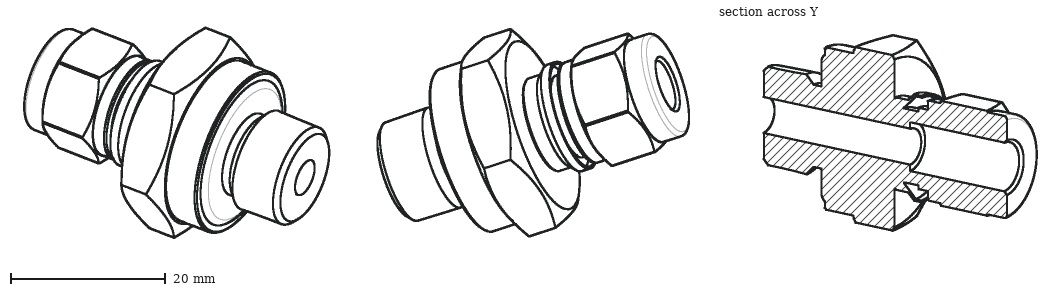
import cadquery as cq
import math

length = 38.55

nut_diameter = 13.9
nut_edge_round = 0.5
nut_hex_start = 3.0
nut_hex_end = 10.6
nut_flats = 14.25
nut_corner_diameter = 16.35
nut_chamfer_diameter = 13.8
nut_collar_diameter = 13.65
nut_end = 12.55
nut_collar_chamfer = 0.3
nut_collar_chamfer_depth = 0.1

neck_diameter = 11.1
neck_step = 14.03
ring_core_diameter = 10.1
ring_start = 13.5
ring_diameter = 14.5
ring_cone_start = 14.7
ring_cone_end = 15.7
ring_recess_diameter = 13.9
ring_recess_cone_start = 14.4
ring_recess_end = 16.35
sleeve_diameter = 12.6
sleeve_chamfer = 0.25

body_hex_start = 17.8
body_hex_end = 24.3
body_flats = 23.8
body_chamfer_diameter = 22.75
hex_chamfer_angle = 30.0

flange_diameter = 22.1
flange_end = 28.85
flange_chamfer = 0.25
lip_diameter = 19.9
lip_end = 29.45
lip_drop = 0.95
lip_round = 1.35

undercut_diameter = 11.2
undercut_end = 30.6
thread_start = 31.75
thread_diameter = 13.6
thread_tip_diameter = 13.37
thread_chamfer = 0.7

bore_diameter = 4.8
socket_diameter = 6.55
socket_depth = 15.3
socket_chamfer = 0.42


def cylinder(start, end, diameter):
    return cq.Workplane("YZ", origin=(start, 0, 0)).circle(diameter / 2).extrude(end - start)


def cone(start, end, start_diameter, end_diameter):
    profile = [(start, 0), (start, start_diameter / 2), (end, end_diameter / 2), (end, 0)]
    return cq.Workplane("XY").polyline(profile).close().revolve(360, (0, 0), (1, 0))


def chamfered_hexagon(start, end, flats, chamfer_diameter):
    """Hexagonal prism with corners along Y, both ends trimmed by a cone."""
    corner_diameter = flats / math.cos(math.radians(30))
    depth = (corner_diameter - chamfer_diameter) / 2 * math.tan(math.radians(hex_chamfer_angle))
    prism = cq.Workplane("YZ", origin=(start, 0, 0)).polygon(6, corner_diameter).extrude(end - start)
    envelope = (
        cone(start, start + depth, chamfer_diameter, corner_diameter)
        .union(cylinder(start + depth, end - depth, corner_diameter))
        .union(cone(end - depth, end, corner_diameter, chamfer_diameter))
    )
    return prism.intersect(envelope)


def compression_nut():
    front = cylinder(0, nut_hex_start, nut_diameter).faces("<X").edges().fillet(nut_edge_round)
    hexagon = chamfered_hexagon(nut_hex_start, nut_hex_end, nut_flats, nut_chamfer_diameter)
    hexagon = hexagon.intersect(cylinder(nut_hex_start, nut_hex_end, nut_corner_diameter))
    collar = cylinder(nut_hex_end, nut_end, nut_collar_diameter)
    collar = collar.faces(">X").edges().chamfer(nut_collar_chamfer, nut_collar_chamfer_depth)
    return front.union(hexagon).union(collar)


def neck_and_ring():
    neck = cylinder(nut_end, ring_start, neck_diameter)
    ring = cylinder(ring_start, ring_cone_start, ring_diameter)
    taper = cone(ring_cone_start, ring_cone_end, ring_diameter, sleeve_diameter)
    sleeve = cylinder(ring_cone_end, body_hex_start, sleeve_diameter)
    sleeve = sleeve.faces(">X").edges().chamfer(sleeve_chamfer)
    recess = (
        cylinder(ring_start, ring_recess_cone_start, ring_recess_diameter)
        .union(cone(ring_recess_cone_start, ring_recess_end, ring_recess_diameter, ring_core_diameter))
        .cut(cylinder(ring_start, neck_step, neck_diameter))
        .cut(cylinder(neck_step, ring_recess_end, ring_core_diameter))
    )
    return neck.union(ring).union(taper).union(sleeve).cut(recess)


def body():
    hexagon = chamfered_hexagon(body_hex_start, body_hex_end, body_flats, body_chamfer_diameter)
    flange = cylinder(body_hex_end, flange_end, flange_diameter)
    flange = flange.faces(">X").edges().chamfer(flange_chamfer)
    lip_radius = lip_diameter / 2
    lip = (
        cq.Workplane("XY")
        .moveTo(flange_end, 0)
        .lineTo(flange_end, lip_radius)
        .radiusArc((lip_end, lip_radius - lip_drop), lip_round)
        .lineTo(lip_end, 0)
        .close()
        .revolve(360, (0, 0), (1, 0))
    )
    return hexagon.union(flange).union(lip)


def threaded_end():
    undercut = cylinder(lip_end, undercut_end, undercut_diameter)
    lead = cone(undercut_end, thread_start, undercut_diameter, thread_diameter)
    thread = cone(thread_start, length, thread_diameter, thread_tip_diameter)
    thread = thread.faces(">X").edges().chamfer(thread_chamfer)
    return undercut.union(lead).union(thread)


def stepped_bore():
    mouth_diameter = socket_diameter + 2 * socket_chamfer
    mouth = cone(0, socket_chamfer, mouth_diameter, socket_diameter)
    socket = cylinder(0, socket_depth, socket_diameter)
    return cylinder(0, length, bore_diameter).union(socket).union(mouth)


result = (
    compression_nut()
    .union(neck_and_ring())
    .union(body())
    .union(threaded_end())
    .cut(stepped_bore())
)